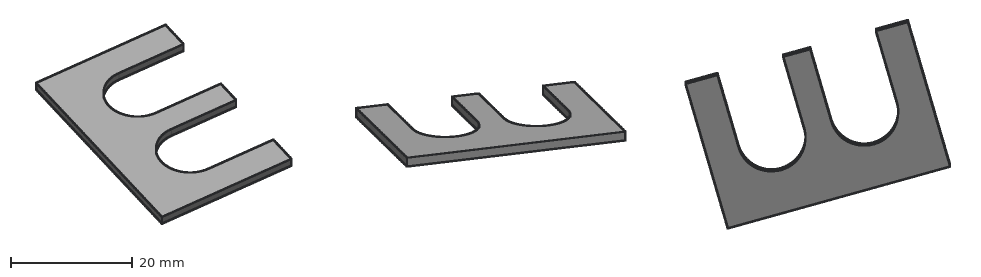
import cadquery as cq

length = 38.1
width = 25.4
thickness = 1.55

slot_width = 11.25
slot_pitch = 15.9
web_below_slots = 7.1

slot_radius = slot_width / 2
back_edge = width / 2
arc_center_y = -width / 2 + web_below_slots + slot_radius


def open_slot(center_x):
    """Cutter with a half-round bottom, reaching the back edge of the plate."""
    left = center_x - slot_radius
    right = center_x + slot_radius
    return (
        cq.Workplane("XY")
        .moveTo(left, back_edge)
        .lineTo(left, arc_center_y)
        .threePointArc((center_x, arc_center_y - slot_radius), (right, arc_center_y))
        .lineTo(right, back_edge)
        .close()
        .extrude(thickness)
    )


result = cq.Workplane("XY").box(length, width, thickness, centered=(True, True, False))
for side in (-1, 1):
    result = result.cut(open_slot(side * slot_pitch / 2))